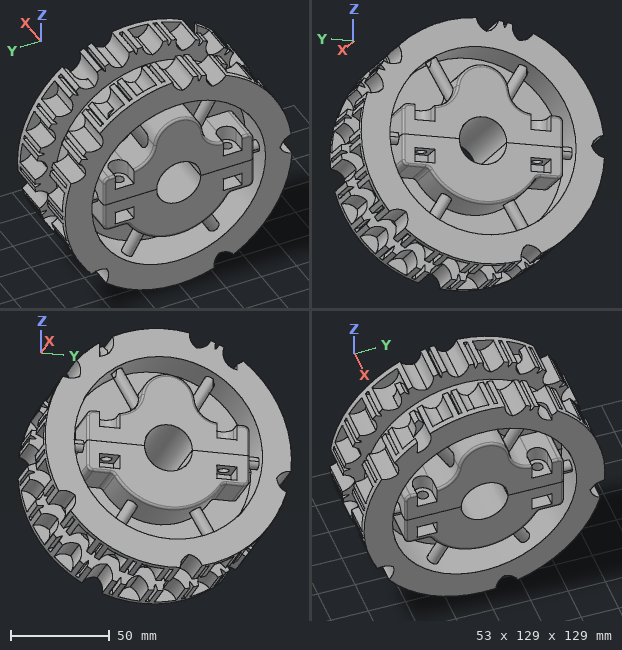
import cadquery as cq
import math

end_plane = cq.Plane(origin=(0, 0, 0), xDir=(0, -1, 0), normal=(-1, 0, 0))

width = 53.0
outer_radius = 64.5
ring_bore_radius = 49.25
groove_width = 13.8
groove_radius = 52.7

pocket_count = 21
pocket_pitch = 360.0 / pocket_count
pocket_radius = 8.35
pocket_circle_radius = 65.7
pocket_set_angle = 90.0
end_wall = 3.2
walled_at_minus_x = (1, 2, 6, 7, 10, 11, 14, 15, 18, 19)

bore_radius = 12.5
ear_reach = 42.5
ear_half_height = 16.4
ear_corner_radius = 3.0
lobe_top = 40.0
lobe_radius = 13.8
cove_radius = 13.0
lower_radius = 33.1
lower_blend_radius = 3.0
hub_edge_radius = 1.25

web_thickness = 8.0
spoke_count = 6
spoke_diameter = 6.2
spoke_x = 16.9

bolt_y = 30.7
slot_width = 10.6
slot_end_x = 14.4
slot_floor_z = 8.0
bolt_x = slot_end_x + slot_width / 2
bolt_hole_diameter = 5.6
nut_window_top = -6.7
nut_window_height = 7.2


def disc(radius, thickness):
    """Disc about the axle, centred on X = 0."""
    return cq.Workplane(end_plane).workplane(offset=-thickness / 2).circle(radius).extrude(thickness)


def bolt_slots(height):
    """Four upright round-ended slots, open at the ends, rising from the bolt head seats."""
    slot_radius = slot_width / 2
    slot_length = width / 2 - bolt_x
    slots = cq.Workplane("XY")
    for side_x in (-1, 1):
        for side_y in (-1, 1):
            base = cq.Workplane("XY", origin=(side_x * bolt_x, side_y * bolt_y, slot_floor_z))
            slots = slots.add(base.circle(slot_radius).extrude(height))
            straight = base.center(side_x * slot_length / 2, 0).rect(slot_length, slot_width).extrude(height)
            slots = slots.add(straight)
    return slots.combine()


def pocket_set():
    """One set of round pockets around the ring, each walled off at one end."""
    pocket_length = width - end_wall
    pockets = cq.Workplane("XY")
    for index in range(pocket_count):
        angle = math.radians(index * pocket_pitch)
        start_x = -width / 2
        if index in walled_at_minus_x:
            start_x += end_wall
        centre = cq.Vector(
            start_x, -pocket_circle_radius * math.cos(angle), pocket_circle_radius * math.sin(angle)
        )
        pocket = cq.Solid.makeCylinder(pocket_radius, pocket_length, centre, cq.Vector(1, 0, 0))
        pockets = pockets.add(pocket)
    return pockets.combine()


def make_ring():
    """Grooved ring, opened only where its two pocket sets overlap; the slots widen the first set."""
    ring_body = disc(outer_radius, width).cut(disc(ring_bore_radius, width))
    ring_body = ring_body.cut(disc(outer_radius, groove_width).cut(disc(groove_radius, groove_width)))
    pockets = pocket_set()
    turned_pockets = pockets.rotate((0, 0, 0), (-1, 0, 0), pocket_set_angle)
    openings = pockets.union(bolt_slots(2 * outer_radius)).intersect(turned_pockets)
    return ring_body.cut(openings)


def hub_core():
    """Hub block: top lobe, two side ears and a round belly, with rounded end edges."""
    diagonal = math.sqrt(0.5)
    lobe_z = lobe_top - lobe_radius

    cove_z = ear_half_height + cove_radius
    cove_distance = lobe_radius + cove_radius
    cove_x = math.sqrt(cove_distance ** 2 - (cove_z - lobe_z) ** 2)
    cove_angle = math.atan2(cove_z - lobe_z, cove_x)
    cove_start = (lobe_radius * math.cos(cove_angle), lobe_z + lobe_radius * math.sin(cove_angle))
    lobe_mid_angle = (math.pi / 2 + cove_angle) / 2
    lobe_mid = (lobe_radius * math.cos(lobe_mid_angle), lobe_z + lobe_radius * math.sin(lobe_mid_angle))
    cove_mid = (cove_x - cove_radius * diagonal, cove_z - cove_radius * diagonal)

    corner_x = ear_reach - ear_corner_radius
    corner_z = ear_half_height - ear_corner_radius
    corner_mid = ear_corner_radius * diagonal

    blend_z = -ear_half_height - lower_blend_radius
    blend_distance = lower_radius + lower_blend_radius
    blend_x = math.sqrt(blend_distance ** 2 - blend_z ** 2)
    belly_ratio = lower_radius / blend_distance
    belly_angle = math.atan2(blend_z, blend_x)
    blend_mid_angle = (math.pi / 2 + belly_angle + math.pi) / 2
    blend_mid = (
        blend_x + lower_blend_radius * math.cos(blend_mid_angle),
        blend_z + lower_blend_radius * math.sin(blend_mid_angle),
    )
    belly_mid_angle = (belly_angle - math.pi / 2) / 2
    belly_mid = (lower_radius * math.cos(belly_mid_angle), lower_radius * math.sin(belly_mid_angle))

    outline = (
        cq.Workplane(end_plane)
        .workplane(offset=-width / 2)
        .moveTo(0, lobe_top)
        .threePointArc(lobe_mid, cove_start)
        .threePointArc(cove_mid, (cove_x, ear_half_height))
        .lineTo(corner_x, ear_half_height)
        .threePointArc((corner_x + corner_mid, corner_z + corner_mid), (ear_reach, corner_z))
        .lineTo(ear_reach, -corner_z)
        .threePointArc((corner_x + corner_mid, -corner_z - corner_mid), (corner_x, -ear_half_height))
        .lineTo(blend_x, -ear_half_height)
        .threePointArc(blend_mid, (blend_x * belly_ratio, blend_z * belly_ratio))
        .threePointArc(belly_mid, (0, -lower_radius))
        .mirrorY()
    )
    core = outline.extrude(width)
    return core.faces("<X or >X").edges().fillet(hub_edge_radius)


def spokes():
    """Round spokes in two rows, one on each side of the web, running from the hub to the ring bore."""
    rods = cq.Workplane("XY")
    for side_x in (-1, 1):
        for index in range(spoke_count):
            base = cq.Workplane("XY", origin=(side_x * spoke_x, 0, 0))
            rod = base.circle(spoke_diameter / 2).extrude(outer_radius)
            rods = rods.add(rod.rotate((0, 0, 0), (1, 0, 0), 90 + index * 360.0 / spoke_count))
    return rods.combine().intersect(disc(ring_bore_radius, width))


def bolt_cuts():
    """Head slots, bolt holes and nut windows of the four clamping bolts."""
    cuts = bolt_slots(outer_radius)
    nut_window_floor = nut_window_top - nut_window_height
    window_depth = width / 2 - slot_end_x
    for side_x in (-1, 1):
        for side_y in (-1, 1):
            y = side_y * bolt_y
            hole = (
                cq.Workplane("XY", origin=(side_x * bolt_x, y, nut_window_top))
                .circle(bolt_hole_diameter / 2)
                .extrude(slot_floor_z - nut_window_top)
            )
            window_x = side_x * (slot_end_x + window_depth / 2)
            window = (
                cq.Workplane("XY", origin=(window_x, y, nut_window_floor))
                .rect(window_depth, slot_width)
                .extrude(nut_window_height)
            )
            cuts = cuts.union(hole).union(window)
    return cuts


def make_hub_half(side_z):
    """Half of the hub with its share of web and spokes: side_z is 1 for the upper, -1 for the lower."""
    hub = hub_core().union(disc(ring_bore_radius, web_thickness)).union(spokes())
    hub = hub.cut(disc(bore_radius, width)).cut(bolt_cuts())
    half_space = cq.Workplane("XY").rect(2 * width, 4 * outer_radius).extrude(side_z * outer_radius)
    return hub.intersect(half_space, clean=False)


ring = make_ring()
upper_hub = make_hub_half(1)
lower_hub = make_hub_half(-1)

result = cq.Compound.makeCompound([ring.val(), upper_hub.val(), lower_hub.val()])